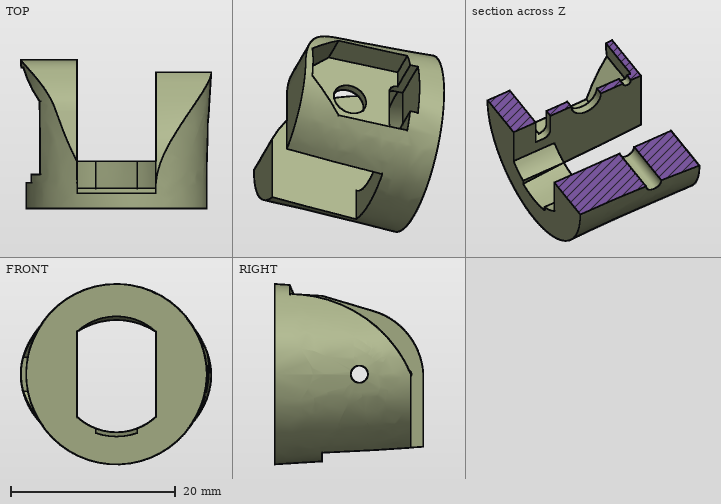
import cadquery as cq
import math

disc_radius = 10.93
left_arm_length = 18.0
right_arm_length = 16.5
body_sections = [
    (0, disc_radius, disc_radius),
    (5.8, 10.95, 10.55),
    (11.6, 11.18, 10.18),
    (left_arm_length, 11.6, 9.63),
]
margin = 2.32
outer_reach = disc_radius + margin

half_gap = 4.75
bore_radius = 7.0
bore_corner = math.sqrt(bore_radius**2 - half_gap**2)
top_rim_front = 1.79
top_rim_rear = 2.45
top_rim_rear_radius = 9.35
bore_top_rear = 6.55
bottom_wall_depth = 5.75

groove_half_width = 2.5
groove_front_radius = 7.55

pivot_depth = 10.25
left_pivot_radius = 2.06
right_pivot_radius = 1.02
pin_depth = 16
pin_radius = 0.53

left_round_middle = (16.98, 3.57)
left_round_front = (11.85, 7.68)
left_slope_end = (bottom_wall_depth, 9.5)
left_slope_front = (2.25, 9.7)
right_round_middle = (12.2, 5.85)
right_round_front = (3.1, 9.63)

arm_wall = 1.0
pocket_floor = half_gap + arm_wall
pocket_front = 4.15
pocket_shoulder = 13
pocket_rear = 17.05
pocket_half_height = 5.65
pocket_tip_half_height = 2.06
notch_front = 3.15
notch_rear = 5.2
notch_half_height = 3.5
notch_corner_radius = 1.02

def side_plane(x):
    """Sketch plane facing +X at the given X, with local axes Y and Z."""
    return cq.Workplane("YZ", origin=(x, 0, 0))

def body_section(depth, half_width, half_height):
    """Elliptical outline at a depth, starting and ending at its top."""
    top_angle = 90
    outline = cq.Edge.makeEllipse(
        half_width,
        half_height,
        pnt=cq.Vector(0, depth, 0),
        dir=cq.Vector(0, -1, 0),
        xdir=cq.Vector(1, 0, 0),
        angle1=top_angle,
        angle2=top_angle + 360,
    )
    return cq.Wire.assembleEdges([outline])

def body_blank():
    outlines = [body_section(*section) for section in body_sections]
    return cq.Workplane(cq.Solid.makeLoft(outlines))

def left_arm_waste():
    """Material above the round-ended outline of the left arm."""
    return (
        side_plane(-outer_reach)
        .moveTo(left_arm_length, 0)
        .threePointArc(left_round_middle, left_round_front)
        .lineTo(*left_slope_end)
        .lineTo(*left_slope_front)
        .lineTo(left_slope_front[0], outer_reach)
        .lineTo(left_arm_length + margin, outer_reach)
        .lineTo(left_arm_length + margin, 0)
        .close()
        .extrude(outer_reach - half_gap)
    )

def right_arm_waste():
    """Material above and behind the right arm."""
    return (
        side_plane(half_gap)
        .moveTo(right_arm_length, -outer_reach)
        .lineTo(right_arm_length, 0)
        .threePointArc(right_round_middle, right_round_front)
        .lineTo(right_round_front[0], outer_reach)
        .lineTo(left_arm_length + margin, outer_reach)
        .lineTo(left_arm_length + margin, -outer_reach)
        .close()
        .extrude(outer_reach - half_gap)
    )

def top_rim_cone():
    """Conical shoulder on the back of the front disc."""
    return (
        cq.Workplane("XZ", origin=(0, top_rim_front, 0))
        .circle(disc_radius)
        .workplane(offset=top_rim_front - top_rim_rear)
        .circle(top_rim_rear_radius)
        .loft(combine=True)
    )

def arm_gap():
    """Space between the arms, behind the top rim and the bottom wall."""
    rear = left_arm_length + margin
    opening = (
        side_plane(-half_gap)
        .polyline([
            (top_rim_front, 0),
            (bottom_wall_depth, 0),
            (bottom_wall_depth, -outer_reach),
            (rear, -outer_reach),
            (rear, outer_reach),
            (top_rim_front, outer_reach),
        ])
        .close()
        .extrude(2 * half_gap)
    )
    return opening.cut(top_rim_cone())

def upper_bore():
    """Upper half of the bore, its roof dropping toward the rear."""
    return (
        cq.Workplane("XZ")
        .moveTo(-half_gap, 0)
        .lineTo(-half_gap, bore_corner)
        .threePointArc((0, bore_radius), (half_gap, bore_corner))
        .lineTo(half_gap, 0)
        .close()
        .workplane(offset=-top_rim_rear)
        .moveTo(-half_gap, 0)
        .lineTo(-half_gap, bore_corner)
        .threePointArc((0, bore_top_rear), (half_gap, bore_corner))
        .lineTo(half_gap, 0)
        .close()
        .loft(combine=True)
    )

def lower_bore():
    """Lower half of the bore, running straight through the bottom wall."""
    return (
        cq.Workplane("XZ")
        .moveTo(-half_gap, 0)
        .lineTo(-half_gap, -bore_corner)
        .threePointArc((0, -bore_radius), (half_gap, -bore_corner))
        .lineTo(half_gap, 0)
        .close()
        .extrude(-bottom_wall_depth)
    )

def floor_groove():
    """Cone narrowing to the bore radius, limited to the groove width."""
    cone = (
        cq.Workplane("XZ")
        .circle(groove_front_radius)
        .workplane(offset=-bottom_wall_depth)
        .circle(bore_radius)
        .loft(combine=True)
    )
    strip = cq.Workplane("XY").box(
        2 * groove_half_width, bottom_wall_depth, outer_reach, centered=(True, False, False)
    ).translate((0, 0, -outer_reach))
    return cone.intersect(strip)

def arm_pocket():
    upper_edge = [
        (pocket_front, pocket_half_height),
        (pocket_shoulder, pocket_half_height),
        (pocket_rear, pocket_tip_half_height),
    ]
    lower_edge = [(y, -z) for y, z in reversed(upper_edge)]
    return (
        side_plane(-outer_reach)
        .polyline(upper_edge + lower_edge)
        .close()
        .extrude(outer_reach - pocket_floor)
    )

def pocket_notch():
    """Slot through the thin wall at the front of the pocket."""
    return (
        side_plane(-outer_reach)
        .center((notch_front + notch_rear) / 2, 0)
        .rect(notch_rear - notch_front, 2 * notch_half_height)
        .extrude(outer_reach - half_gap)
        .edges("|X and >Y")
        .fillet(notch_corner_radius)
    )

def cross_hole(start_x, depth, radius):
    """Hole along X through one arm."""
    return side_plane(start_x).center(depth, 0).circle(radius).extrude(outer_reach)

result = (
    body_blank()
    .cut(left_arm_waste())
    .cut(right_arm_waste())
    .cut(arm_gap())
    .cut(upper_bore())
    .cut(lower_bore())
    .cut(floor_groove())
    .cut(arm_pocket())
    .cut(pocket_notch())
    .cut(cross_hole(-outer_reach, pivot_depth, left_pivot_radius))
    .cut(cross_hole(-outer_reach, pin_depth, pin_radius))
    .cut(cross_hole(0, pivot_depth, right_pivot_radius))
)